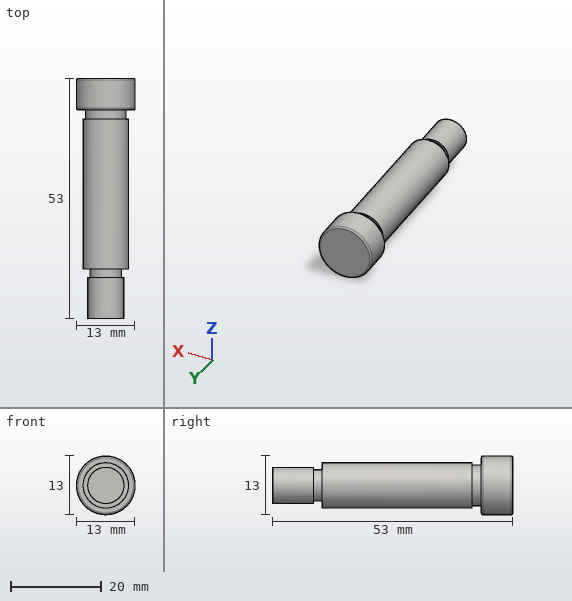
import cadquery as cq

total_length = 53.0

head_diameter = 13.0
head_length = 7.0
head_edge_radius = 0.4

neck_diameter = 9.0
neck_length = 2.0

shoulder_diameter = 10.0

groove_diameter = 7.0
groove_length = 1.9

tip_diameter = 8.0
tip_length = 9.0

shoulder_length = total_length - head_length - neck_length - groove_length - tip_length


def cylinder_along_y(diameter, start, length):
    """Solid cylinder on the Y axis, running from start toward +Y."""
    plane = cq.Plane(origin=(0, start, 0), xDir=(1, 0, 0), normal=(0, 1, 0))
    return cq.Workplane(plane).circle(diameter / 2).extrude(length)


tip_start = -total_length / 2
groove_start = tip_start + tip_length
shoulder_start = groove_start + groove_length
neck_start = shoulder_start + shoulder_length
head_start = neck_start + neck_length

tip = cylinder_along_y(tip_diameter, tip_start, tip_length)
groove = cylinder_along_y(groove_diameter, groove_start, groove_length)
shoulder = cylinder_along_y(shoulder_diameter, shoulder_start, shoulder_length)
neck = cylinder_along_y(neck_diameter, neck_start, neck_length)

head = cylinder_along_y(head_diameter, head_start, head_length)
head = head.faces("<Y or >Y").edges().fillet(head_edge_radius)

result = tip.union(groove).union(shoulder).union(neck).union(head)